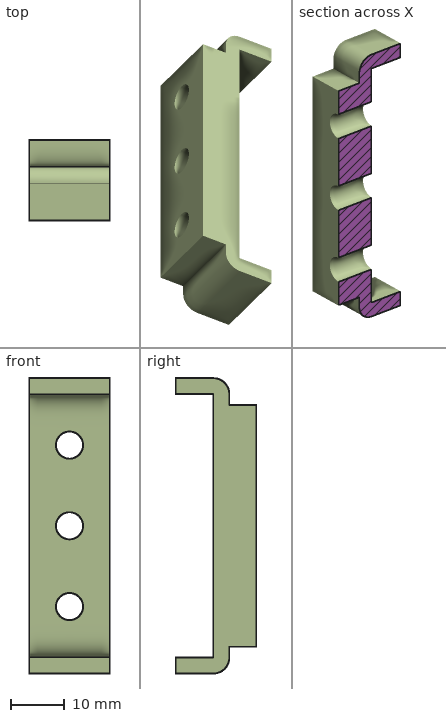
import cadquery as cq

width = 15.0
depth = 15.0
height = 55.0

sheet_thickness = 3.0
bend_radius = sheet_thickness

block_thickness = 5.0
block_height = 45.0

hole_diameter = 5.0
hole_pitch = 15.0
hole_count = 3

front_y = -depth / 2
back_y = depth / 2
web_back_y = back_y - block_thickness
channel_depth = depth - block_thickness
flange_inner_length = channel_depth - sheet_thickness
inner_height = height - 2 * sheet_thickness


def make_channel():
    """Channel with rounded outer bends and sharp inner corners."""
    body = (
        cq.Workplane("XY")
        .box(width, channel_depth, height)
        .edges("|X and >Y")
        .fillet(bend_radius)
        .translate((0, front_y + channel_depth / 2, 0))
    )
    opening = (
        cq.Workplane("XY")
        .box(width, flange_inner_length, inner_height)
        .translate((0, front_y + flange_inner_length / 2, 0))
    )
    return body.cut(opening)


def make_block():
    """Plain block seated on the back face of the web."""
    return (
        cq.Workplane("XY")
        .box(width, block_thickness, block_height)
        .translate((0, web_back_y + block_thickness / 2, 0))
    )


def make_holes():
    """Cylinders along Y that pass through both web and block."""
    return (
        cq.Workplane("XZ")
        .rarray(0.55, hole_pitch, 1, hole_count)
        .circle(hole_diameter / 2)
        .extrude(depth / 2, both=True)
    )


result = make_channel().union(make_block()).cut(make_holes())